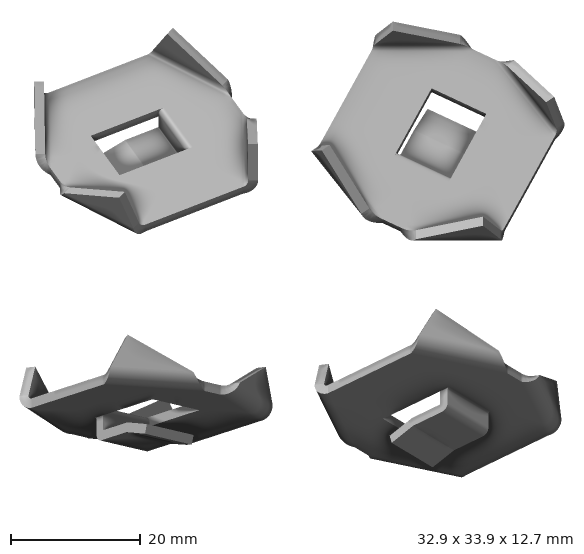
import cadquery as cq
import math

sheet = 1.524
bend_inner = sheet / 2
bend_outer = bend_inner + sheet

blank_half = 15.875
fold_x = 1.5875
fold_angle = 27.0
leg_x = blank_half - fold_x
leg_y = leg_x * math.tan(math.radians(fold_angle))
fold_y = blank_half - leg_y

fold_cos = math.cos(math.radians(fold_angle))
fold_sin = math.sin(math.radians(fold_angle))
fold_length = math.hypot(leg_x, leg_y)
corner_depth = leg_x * fold_sin
apex_along = leg_x * fold_cos
bend_run = bend_inner * math.pi / 2
near_taper = bend_run * fold_cos / fold_sin
far_taper = bend_run * fold_sin / fold_cos

window_width = 9.47
window_front = -7.14
tongue_inner = 4.70
tongue_outer = tongue_inner + sheet
root_round = 0.94
root_fillet = 0.35
floor_fillet = 0.17
heel_round = 1.15
window_back = tongue_inner + root_round
floor_top = -2.40
floor_bottom = floor_top - sheet
floor_end = -1.14
tip_angle = 15.5
tip_length = 4.81
crease_round = 0.45


def make_plate():
    outline = [
        (fold_x, blank_half),
        (blank_half, fold_y),
        (blank_half, -fold_y),
        (fold_x, -blank_half),
        (-fold_x, -blank_half),
        (-blank_half, -fold_y),
        (-blank_half, fold_y),
        (-fold_x, blank_half),
    ]
    plate = cq.Workplane("XY").polyline(outline).close().extrude(sheet)
    window = (
        cq.Workplane("XY")
        .center(0, (window_back + window_front) / 2)
        .rect(window_width, window_back - window_front)
        .extrude(sheet)
    )
    return plate.cut(window)


def sector(plane, inner, outer, start_angle):
    """Closed quarter-ring sketch about the plane's origin."""
    def at(radius, turn):
        angle = math.radians(start_angle + turn)
        return (radius * math.cos(angle), radius * math.sin(angle))

    return (
        cq.Workplane(plane)
        .moveTo(*at(inner, 0))
        .lineTo(*at(outer, 0))
        .threePointArc(at(outer, 45), at(outer, 90))
        .lineTo(*at(inner, 90))
        .threePointArc(at(inner, 45), at(inner, 0))
        .close()
    )


def make_flange():
    """Folded corner at +X +Y: a quarter bend and an upright triangle."""
    along = cq.Vector(fold_cos, -fold_sin, 0)
    outward = cq.Vector(fold_sin, fold_cos, 0)
    axis_start = cq.Vector(fold_x, blank_half, bend_outer)

    cut_inner = bend_inner / 2
    cut_outer = bend_outer + bend_inner
    near_plane = cq.Plane(axis_start, outward, along)
    far_plane = cq.Plane(axis_start + along * (fold_length - far_taper), outward, along)
    bend = sector(near_plane, bend_inner, bend_outer, -90).extrude(fold_length)
    near_waste = sector(near_plane, cut_inner, cut_outer, -90).twistExtrude(near_taper, 90)
    far_waste = sector(far_plane, cut_inner, cut_outer, 0).twistExtrude(far_taper, -90)
    bend = bend.cut(near_waste).cut(far_waste)

    wall_plane = cq.Plane(axis_start + outward * bend_outer, along, outward * -1)
    wall = (
        cq.Workplane(wall_plane)
        .moveTo(near_taper, 0)
        .lineTo(fold_length - far_taper, 0)
        .lineTo(apex_along, corner_depth - bend_run)
        .close()
        .extrude(sheet)
    )
    return bend.union(wall)


def make_tongue():
    """Strip bent down from the window's +Y edge, then forward, with a sloped tip."""
    tip = math.radians(tip_angle)
    tip_top = (floor_end - tip_length * math.cos(tip), floor_top - tip_length * math.sin(tip))
    tip_bottom = (tip_top[0] + sheet * math.sin(tip), tip_top[1] - sheet * math.cos(tip))
    crease_setback = crease_round * math.tan(tip / 2)
    crease_end = (
        floor_end - crease_setback * math.cos(tip),
        floor_top - crease_setback * math.sin(tip),
    )
    floor_bottom_end = floor_end + sheet * math.tan(tip / 2)

    profile = (
        cq.Workplane("YZ", origin=(-window_width / 2, 0, 0))
        .moveTo(window_back, sheet)
        .radiusArc((tongue_inner, sheet - root_round), -root_round)
        .lineTo(tongue_inner, floor_top + floor_fillet)
        .radiusArc((tongue_inner - floor_fillet, floor_top), floor_fillet)
        .lineTo(floor_end + crease_setback, floor_top)
        .radiusArc(crease_end, -crease_round)
        .lineTo(*tip_top)
        .lineTo(*tip_bottom)
        .lineTo(floor_bottom_end, floor_bottom)
        .lineTo(tongue_outer - heel_round, floor_bottom)
        .radiusArc((tongue_outer, floor_bottom + heel_round), -heel_round)
        .lineTo(tongue_outer, -root_fillet)
        .radiusArc((tongue_outer + root_fillet, 0), root_fillet)
        .lineTo(tongue_outer + root_fillet, sheet)
        .close()
    )
    return profile.extrude(window_width)


flange = make_flange()
flange_pair = flange.union(flange.mirror("YZ"))
result = make_plate().union(flange_pair).union(flange_pair.mirror("XZ")).union(make_tongue())